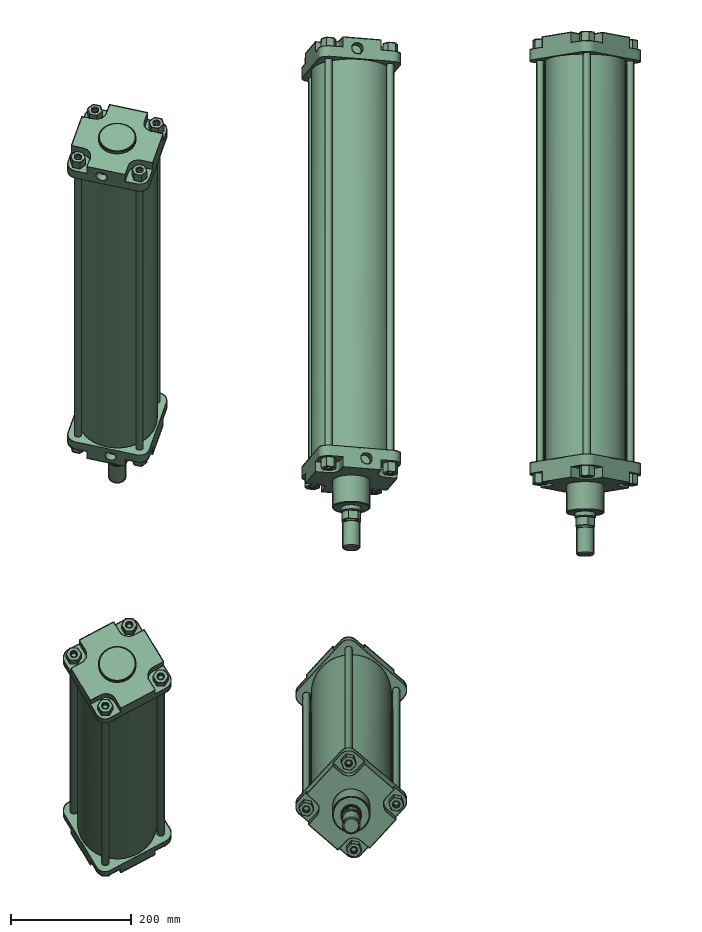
import cadquery as cq
import math

total_height = 874.0
rear_boss_height = 6.0
cover_height = 36.0
collar_bottom = 71.0
front_cover_bottom = 118.0
front_cover_top = front_cover_bottom + cover_height
rear_cover_top = total_height - rear_boss_height
rear_cover_bottom = rear_cover_top - cover_height

cover_width = 140.0
cover_corner_radius = 17.0
pilot_diameter = 62.0
pilot_chamfer = 1.3
pocket_depth = 17.5
pocket_reach = 20.0
pocket_fillet = 17.5
port_diameter = 19.0
port_depth = 13.0
port_offset = 8.0

barrel_diameter = 133.0

tie_spacing = 106.0
tie_diameter = 12.0
nut_across_flats = 22.0
nut_height = 17.0
nut_crown_diameter = 24.0
nut_crown_height = 1.0
socket_diameter = 10.0
socket_mouth_diameter = 12.0
socket_depth = 9.0

thread_diameter = 29.0
thread_length = 45.0
tip_chamfer = 2.2
undercut_diameter = 24.5
rod_end = 48.0
rod_diameter = 31.5
wrench_flats = 27.0
shoulder_bottom = 62.0
shoulder_diameter = 34.0
shoulder_bevel_height = 2.0

tie_positions = [(sx * tie_spacing / 2, sy * tie_spacing / 2) for sx in (-1, 1) for sy in (-1, 1)]


def cylinder(diameter, bottom, top):
    return cq.Workplane("XY").workplane(offset=bottom).circle(diameter / 2).extrude(top - bottom)


def corner_pocket(x, y):
    """Cutter for one corner recess, open on the two outer sides and rounded at its inner corner."""
    size = cover_width / 2 - tie_spacing / 2 + pocket_reach
    center = cover_width / 2 - size / 2
    side_x = math.copysign(1, x)
    side_y = math.copysign(1, y)
    cutter = cq.Workplane("XY").rect(size, size).extrude(pocket_depth)
    inner_corner = cq.selectors.NearestToPointSelector((-side_x * size, -side_y * size, pocket_depth / 2))
    cutter = cutter.edges("|Z").edges(inner_corner).fillet(pocket_fillet)
    return cutter.translate((side_x * center, side_y * center, 0))


def make_cover(pilot_height, port_x):
    """Cover with its inner face at Z = 0 and its pocketed outer face and pilot upward."""
    cover = (
        cq.Workplane("XY")
        .rect(cover_width, cover_width)
        .extrude(cover_height)
        .edges("|Z")
        .fillet(cover_corner_radius)
    )
    for x, y in tie_positions:
        cover = cover.cut(corner_pocket(x, y).translate((0, 0, cover_height - pocket_depth)))
        cover = cover.cut(cylinder(tie_diameter, 0, cover_height).translate((x, y, 0)))
    pilot = cylinder(pilot_diameter, cover_height, cover_height + pilot_height)
    cover = cover.union(pilot.faces(">Z").chamfer(pilot_chamfer))
    port = (
        cq.Workplane("XZ", origin=(port_x, -cover_width / 2, cover_height / 2))
        .circle(port_diameter / 2)
        .extrude(-port_depth)
    )
    return cover.cut(port)


rear_cover = make_cover(rear_boss_height, -port_offset).translate((0, 0, rear_cover_bottom))
front_cover = (
    make_cover(front_cover_bottom - collar_bottom, port_offset)
    .mirror("XY")
    .translate((0, 0, front_cover_top))
)
barrel = cylinder(barrel_diameter, front_cover_top, rear_cover_bottom)


def make_nut():
    """Hexagonal nut seated on Z = 0, with a bevelled crown and a countersunk blind hole on top."""
    across_corners = nut_across_flats / math.cos(math.pi / 6)
    hexagon = cq.Workplane("XY").polygon(6, across_corners).extrude(nut_height)
    crown = (
        cylinder(across_corners, 0, nut_height)
        .faces(">Z")
        .chamfer(nut_crown_height, (across_corners - nut_crown_diameter) / 2)
    )
    socket = cylinder(socket_diameter, nut_height - socket_depth, nut_height)
    mouth_depth = (socket_mouth_diameter - socket_diameter) / 2
    mouth = (
        cylinder(socket_mouth_diameter, nut_height - mouth_depth, nut_height + mouth_depth)
        .faces("<Z")
        .chamfer(mouth_depth)
    )
    return hexagon.intersect(crown).cut(socket).cut(mouth)


def make_tie_rod(x, y):
    bottom_seat = front_cover_bottom + pocket_depth
    top_seat = rear_cover_top - pocket_depth
    nut = make_nut()
    tie_rod = (
        cylinder(tie_diameter, bottom_seat, top_seat)
        .union(nut.translate((0, 0, top_seat)))
        .union(nut.mirror("XY").translate((0, 0, bottom_seat)))
    )
    return tie_rod.translate((x, y, 0))


tie_rods = [make_tie_rod(x, y) for x, y in tie_positions]


def make_piston_rod():
    thread = cylinder(thread_diameter, 0, thread_length).faces("<Z").chamfer(tip_chamfer)
    undercut = cylinder(undercut_diameter, thread_length, rod_end)
    flats = cylinder(rod_diameter, rod_end, shoulder_bottom).intersect(
        cq.Workplane("XY").box(rod_diameter, wrench_flats, 2 * shoulder_bottom)
    )
    shoulder = (
        cylinder(shoulder_diameter, shoulder_bottom, collar_bottom)
        .faces("<Z")
        .chamfer(shoulder_bevel_height, (shoulder_diameter - rod_diameter) / 2)
    )
    return thread.union(undercut).union(flats).union(shoulder)


piston_rod = make_piston_rod()

result = cq.Compound.makeCompound(
    [front_cover.val(), rear_cover.val(), barrel.val(), piston_rod.val()]
    + [tie_rod.val() for tie_rod in tie_rods]
)